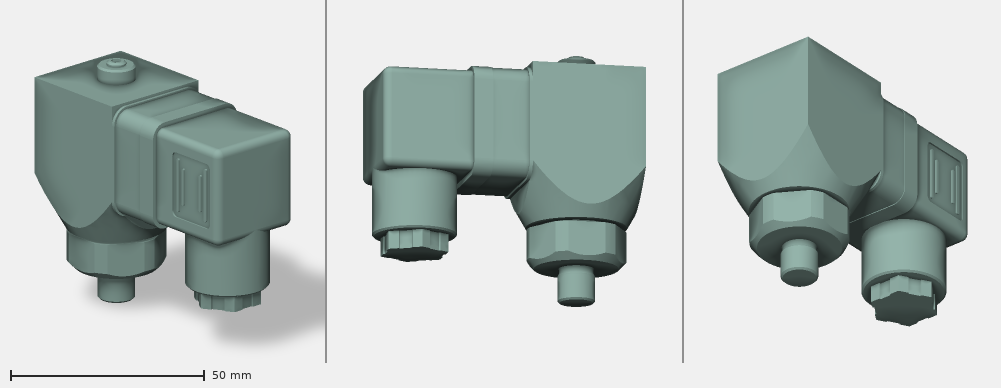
import cadquery as cq
import math

THREAD_TOP = 7.0
UNDERCUT_BOTTOM = 7.4
HEX_BOTTOM = 9.0
HEX_TOP = 19.0
HOUSING_BOTTOM = 19.8
HOUSING_TOP = 60.0
STEM_TOP = 64.0
SCREW_TOP = 65.0

HOUSING_WIDTH = 30.0
CONE_BASE_DIA = 26.3
CONE_ANGLE = 60.0

COVER_DIA = 24.7
COVER_DEPTH = 2.0

STEM_DIA = 10.0
STEM_CHAMFER = 0.5
SCREW_DIA = 5.1
SCREW_TIP_DIA = 3.87
SCREW_RIM_HEIGHT = 0.5
SCREW_HEX_WIDTH = 2.5
SCREW_HEX_DEPTH = 2.0
SHANK_DIA = 5.0
SHANK_LENGTH = 2.0

THREAD_DIA = 9.73
THREAD_CHAMFER = 0.5
UNDERCUT_EDGE_DIA = 9.25
UNDERCUT_DIA = 8.9
FITTING_HEX_WIDTH = 24.0
FITTING_HEX_DIA = 25.94
FITTING_HEX_FACE_DIA = 22.0
NECK_DIA = 20.0

CONNECTOR_Z = 44.25
GASKET_START = HOUSING_WIDTH / 2
GASKET_END = 15.9
SOCKET_END = 25.4
FLANGE_END = 30.4
PLUG_END = 53.9
GASKET_SIZE = 30.0
SOCKET_SIZE = 28.7
FLANGE_SIZE = 29.1
STACK_FLAT = 21.0
PLUG_SIZE = 26.4
PLUG_RADIUS = 2.0

GRIP_X = 43.6
GRIP_WIDTH = 14.6
GRIP_HEIGHT = 17.8
GRIP_RADIUS = 1.5
GRIP_DEPTH = 0.5
LONG_RIB_WIDTH = 0.85
LONG_RIB_OFFSET = 5.28
LONG_RIB_HEIGHT = 14.6
SHORT_RIB_OFFSET = 3.3
SHORT_RIB_WIDTH = 0.75
SHORT_RIB_HEIGHT = 10.1

OUTLET_DIA = 22.0
OUTLET_BOTTOM = 15.4
OUTLET_CHAMFER = 0.5
GLAND_BOTTOM = 10.7
GLAND_HEX_WIDTH = 15.8
NOTCH_WIDTH = 3.66
NOTCH_FLOOR_WIDTH = 3.24
NOTCH_DEPTH = 0.45

OUTLET_X = PLUG_END - OUTLET_DIA / 2
HEX_SIDES = 6


def cylinder(diameter, bottom, top, x=0.0):
    """Upright cylinder between two heights."""
    return cq.Workplane("XY", origin=(x, 0, bottom)).circle(diameter / 2).extrude(top - bottom)


def hexagon(width, bottom, top):
    """Upright hexagonal prism with two of its flats facing -Y and +Y."""
    corner_dia = width / math.cos(math.pi / HEX_SIDES)
    return cq.Workplane("XY", origin=(0, 0, bottom)).polygon(HEX_SIDES, corner_dia).extrude(top - bottom)


def make_housing():
    height = HOUSING_TOP - HOUSING_BOTTOM
    block = (
        cq.Workplane("XY", origin=(0, 0, HOUSING_BOTTOM))
        .rect(HOUSING_WIDTH, HOUSING_WIDTH)
        .extrude(height)
    )
    base_radius = CONE_BASE_DIA / 2
    top_radius = base_radius + height / math.tan(math.radians(CONE_ANGLE))
    cone = (
        cq.Workplane("XZ")
        .moveTo(0, HOUSING_BOTTOM)
        .lineTo(base_radius, HOUSING_BOTTOM)
        .lineTo(top_radius, HOUSING_TOP)
        .lineTo(0, HOUSING_TOP)
        .close()
        .revolve(360, (0, 0, 0), (0, 1, 0))
    )
    cover_seat = cylinder(COVER_DIA, HOUSING_TOP - COVER_DEPTH, HOUSING_TOP)
    return block.intersect(cone).cut(cover_seat)


def make_cover():
    return cylinder(COVER_DIA, HOUSING_TOP - COVER_DEPTH, HOUSING_TOP)


def make_shank():
    """Screw shank, which also shapes the hole it fills in the stem."""
    return cylinder(SHANK_DIA, STEM_TOP - SHANK_LENGTH, STEM_TOP)


def make_stem():
    stem = cylinder(STEM_DIA, HOUSING_TOP, STEM_TOP).faces(">Z").chamfer(STEM_CHAMFER)
    return stem.cut(make_shank())


def make_screw():
    rim_top = STEM_TOP + SCREW_RIM_HEIGHT
    head = (
        cq.Workplane("XZ")
        .moveTo(0, STEM_TOP)
        .lineTo(SCREW_DIA / 2, STEM_TOP)
        .lineTo(SCREW_DIA / 2, rim_top)
        .lineTo(SCREW_TIP_DIA / 2, SCREW_TOP)
        .lineTo(0, SCREW_TOP)
        .close()
        .revolve(360, (0, 0, 0), (0, 1, 0))
    )
    return head.union(make_shank()).cut(hexagon(SCREW_HEX_WIDTH, SCREW_TOP - SCREW_HEX_DEPTH, SCREW_TOP))


def make_fitting():
    thread_radius = THREAD_DIA / 2
    edge_radius = UNDERCUT_EDGE_DIA / 2
    undercut_middle = (UNDERCUT_DIA / 2, (UNDERCUT_BOTTOM + HEX_BOTTOM) / 2)
    port = (
        cq.Workplane("XZ")
        .lineTo(thread_radius - THREAD_CHAMFER, 0)
        .lineTo(thread_radius, THREAD_CHAMFER)
        .lineTo(thread_radius, THREAD_TOP)
        .lineTo(edge_radius, UNDERCUT_BOTTOM)
        .threePointArc(undercut_middle, (edge_radius, HEX_BOTTOM))
        .lineTo(0, HEX_BOTTOM)
        .close()
        .revolve(360, (0, 0, 0), (0, 1, 0))
    )
    chamfer = (FITTING_HEX_DIA - FITTING_HEX_FACE_DIA) / 2
    turned_blank = cylinder(FITTING_HEX_DIA, HEX_BOTTOM, HEX_TOP).faces("<Z").chamfer(chamfer)
    nut = hexagon(FITTING_HEX_WIDTH, HEX_BOTTOM, HEX_TOP).intersect(turned_blank)
    neck = cylinder(NECK_DIA, HEX_TOP, HOUSING_BOTTOM)
    return port.union(nut).union(neck)


def rounded_square(size, radius, start, end):
    """Square bar along X on the connector axis with rounded long edges."""
    return (
        cq.Workplane("YZ", origin=(start, 0, CONNECTOR_Z))
        .rect(size, size)
        .extrude(end - start)
        .edges("|X")
        .fillet(radius)
    )


def make_stack_plate(size, start, end):
    return rounded_square(size, (size - STACK_FLAT) / 2, start, end)


def add_grip(plug):
    """Sinks the grip recess into the -Y face, leaving four ribs level with that face."""
    face = cq.Workplane("XZ", origin=(GRIP_X, -PLUG_SIZE / 2, CONNECTOR_Z))
    recess = (
        face.rect(GRIP_WIDTH, GRIP_HEIGHT)
        .extrude(-GRIP_DEPTH)
        .edges("|Y")
        .fillet(GRIP_RADIUS)
    )
    rib_pairs = (
        (LONG_RIB_OFFSET, LONG_RIB_HEIGHT, LONG_RIB_WIDTH),
        (SHORT_RIB_OFFSET, SHORT_RIB_HEIGHT, SHORT_RIB_WIDTH),
    )
    for offset, height, width in rib_pairs:
        ribs = (
            face.pushPoints([(-offset, 0), (offset, 0)])
            .slot2D(height, width, 90)
            .extrude(-GRIP_DEPTH)
        )
        recess = recess.cut(ribs)
    return plug.cut(recess)


def make_plug():
    shell = rounded_square(PLUG_SIZE, PLUG_RADIUS, FLANGE_END, PLUG_END)
    shell = shell.faces(">X").edges().fillet(PLUG_RADIUS)
    outlet = cylinder(OUTLET_DIA, OUTLET_BOTTOM, CONNECTOR_Z, OUTLET_X)
    outlet = outlet.faces("<Z").chamfer(OUTLET_CHAMFER)
    return add_grip(shell.union(outlet))


def make_gland_nut():
    """Hexagonal nut with tips at -Y and +Y and a shallow notch down each flat."""
    nut = hexagon(GLAND_HEX_WIDTH, GLAND_BOTTOM, OUTLET_BOTTOM)
    notch = (
        cq.Workplane("XY", origin=(0, GLAND_HEX_WIDTH / 2, GLAND_BOTTOM))
        .moveTo(-NOTCH_WIDTH / 2, 0)
        .lineTo(-NOTCH_FLOOR_WIDTH / 2, -NOTCH_DEPTH)
        .lineTo(NOTCH_FLOOR_WIDTH / 2, -NOTCH_DEPTH)
        .lineTo(NOTCH_WIDTH / 2, 0)
        .close()
        .extrude(OUTLET_BOTTOM - GLAND_BOTTOM)
    )
    step = 360 / HEX_SIDES
    for index in range(HEX_SIDES):
        nut = nut.cut(notch.rotate((0, 0, 0), (0, 0, 1), index * step))
    return nut.rotate((0, 0, 0), (0, 0, 1), step / 2).translate((OUTLET_X, 0, 0))


housing = make_housing()
cover = make_cover()
stem = make_stem()
screw = make_screw()
fitting = make_fitting()
gasket = make_stack_plate(GASKET_SIZE, GASKET_START, GASKET_END)
socket = make_stack_plate(SOCKET_SIZE, GASKET_END, SOCKET_END)
flange = make_stack_plate(FLANGE_SIZE, SOCKET_END, FLANGE_END)
plug = make_plug()
gland_nut = make_gland_nut()

result = cq.Compound.makeCompound(
    [
        housing.val(),
        cover.val(),
        stem.val(),
        screw.val(),
        fitting.val(),
        gasket.val(),
        socket.val(),
        flange.val(),
        plug.val(),
        gland_nut.val(),
    ]
)